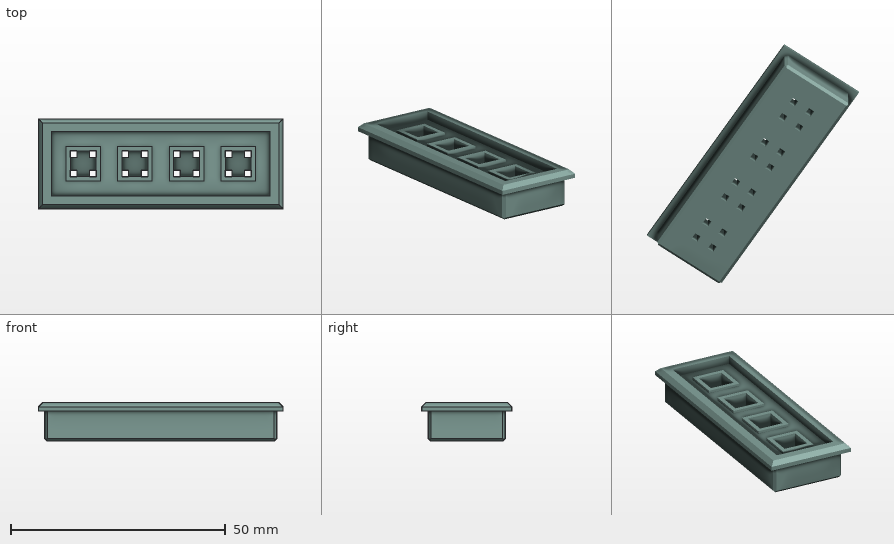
import cadquery as cq

rim_length = 57.0
rim_width = 21.0
rim_height = 2.0
rim_chamfer = rim_height / 2

total_height = 9.0
rim_overhang = 1.5
body_chamfer = 0.6
body_length = rim_length - 2 * rim_overhang
body_width = rim_width - 2 * rim_overhang
body_height = total_height - rim_height

recess_margin = 3.0
recess_depth = 2.0
recess_length = rim_length - 2 * recess_margin
recess_width = rim_width - 2 * recess_margin
recess_floor = total_height - recess_depth

socket_count = 4
socket_pitch = 12.0
socket_size = 6.0
collar_wall = 1.0
collar_height = 0.7
collar_size = socket_size + 2 * collar_wall
collar_top = recess_floor + collar_height
socket_depth = 3.65
corner_hole_size = 1.5
corner_hole_offset = (socket_size - corner_hole_size) / 2
socket_centers = [((i - (socket_count - 1) / 2) * socket_pitch, 0) for i in range(socket_count)]


def block(length, width, height, bottom):
    """Rectangular block centred on the Z axis, standing on the given level."""
    return cq.Workplane("XY", origin=(0, 0, bottom)).rect(length, width).extrude(height)


def make_housing():
    """Chamfered body and rim with the recess cut into the top."""
    blank = block(body_length, body_width, body_height, 0)
    corner_bevelled = blank.edges("|Z").chamfer(body_chamfer)
    base_bevelled = blank.faces("<Z").edges().chamfer(body_chamfer)
    body = corner_bevelled.intersect(base_bevelled)
    rim = block(rim_length, rim_width, rim_height, body_height)
    rim = rim.faces(">Z").edges().chamfer(rim_chamfer)
    recess = block(recess_length, recess_width, recess_depth, recess_floor)
    return body.union(rim).cut(recess)


def make_socket_cavity():
    """Square pocket with a through hole in each corner of its floor."""
    pocket = block(socket_size, socket_size, socket_depth, collar_top - socket_depth)
    corner_holes = (
        cq.Workplane("XY")
        .rect(2 * corner_hole_offset, 2 * corner_hole_offset, forConstruction=True)
        .vertices()
        .rect(corner_hole_size, corner_hole_size)
        .extrude(collar_top)
    )
    return pocket.union(corner_holes)


result = make_housing()
collar = block(collar_size, collar_size, collar_height, recess_floor)
cavity = make_socket_cavity()
for x, y in socket_centers:
    result = result.union(collar.translate((x, y, 0)))
    result = result.cut(cavity.translate((x, y, 0)))